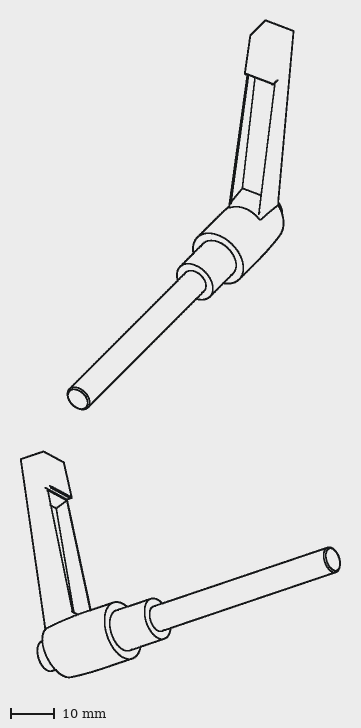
import cadquery as cq
import math

total_length = 87.9
lever_top = 49.8

stud_radius = 3.0
stud_chamfer = 0.35
sleeve_start = 51.0
sleeve_radius = 4.8
button_end = 83.2
button_radius = 3.6

hub_start = 61.1
hub_taper_start = 70.2
hub_radius = 6.8
hub_rear_radius = 6.1
hub_edge_radius = 0.4

rear_slope = 0.165
front_slope = 0.225
nose_slope = 0.236
nose_bottom = 40.0
nose_front = 78.9
nose_step = 1.4
lever_top_half_width = 3.9
lever_base_half_width = 4.3
lever_edge_radius = 0.35
root_fillet = 0.5

pocket_bottom = 7.7
pocket_floor = 77.7
pocket_floor_slope = 0.18
pocket_top = 38.6
pocket_top_half_width = 3.4
pocket_base_half_width = 3.8
pocket_bottom_drop = 0.9
pocket_top_rise = 0.35
pocket_overrun = 0.9

corner_trim = lever_edge_radius * (rear_slope + math.hypot(1, rear_slope) - 1)
rear_corner = total_length + corner_trim


def rear_y(z):
    """Y of the slanted rear plane shared by the lever and the hub."""
    return rear_corner - rear_slope * (lever_top - z)


def front_y(z):
    """Y of the lever front below the nose."""
    return nose_front + nose_step - front_slope * (nose_bottom - z)


def cylinder(radius, start, end):
    """Cylinder on the clamp axis between two Y positions."""
    return cq.Workplane("XZ", origin=(0, start, 0)).circle(radius).extrude(start - end)


def side_prism(points):
    """Prism of a (Y, Z) outline, centred on X and wider than the lever."""
    return cq.Workplane("YZ").polyline(points).close().extrude(hub_radius, both=True)


def width_taper(base_half_width, top_half_width):
    """Symmetric wedge that limits the X width from the clamp axis to the lever top."""
    outline = [
        (-base_half_width, 0),
        (base_half_width, 0),
        (top_half_width, lever_top),
        (-top_half_width, lever_top),
    ]
    return cq.Workplane("XZ").polyline(outline).close().extrude(-2 * total_length)


def make_hub():
    profile_end = rear_y(hub_radius)
    body = (
        cq.Workplane("XY")
        .moveTo(0, hub_start)
        .lineTo(hub_radius, hub_start)
        .lineTo(hub_radius, hub_taper_start)
        .tangentArcPoint((hub_rear_radius, profile_end), relative=False)
        .lineTo(0, profile_end)
        .close()
        .revolve(360, (0, 0, 0), (0, 1, 0))
    )
    front_side = side_prism([
        (0, -hub_radius),
        (rear_y(-hub_radius), -hub_radius),
        (rear_y(hub_radius), hub_radius),
        (0, hub_radius),
    ])
    return body.intersect(front_side).faces(">Y").edges().fillet(hub_edge_radius)


def make_lever():
    outline = [
        (rear_y(0), 0),
        (rear_y(lever_top), lever_top),
        (nose_front + nose_slope * (lever_top - nose_bottom), lever_top),
        (nose_front, nose_bottom),
        (nose_front + nose_step, nose_bottom),
        (front_y(0), 0),
    ]
    taper = width_taper(lever_base_half_width, lever_top_half_width)
    lever = side_prism(outline).intersect(taper)
    return lever.faces("<X or >X or >Z").edges("not <Z").fillet(lever_edge_radius)


def make_pocket():
    roof_floor_y = pocket_floor + pocket_floor_slope * (pocket_top - pocket_bottom)
    base_front_y = front_y(pocket_bottom) - pocket_overrun
    roof_front_y = nose_front - pocket_overrun
    outline = [
        (pocket_floor, pocket_bottom),
        (roof_floor_y, pocket_top),
        (roof_front_y, pocket_top + pocket_top_rise * (roof_floor_y - roof_front_y)),
        (base_front_y, pocket_bottom - pocket_bottom_drop),
    ]
    taper = width_taper(pocket_base_half_width, pocket_top_half_width)
    return side_prism(outline).intersect(taper)


stud = cylinder(stud_radius, 0, hub_taper_start).faces("<Y").chamfer(stud_chamfer)
sleeve = cylinder(sleeve_radius, sleeve_start, hub_taper_start)
button = cylinder(button_radius, hub_start, button_end)

handle = make_hub().union(make_lever().cut(make_pocket()))
root_point = (0, front_y(hub_radius), hub_radius)
root_edge = handle.edges(cq.selectors.NearestToPointSelector(root_point))
handle = root_edge.fillet(root_fillet)

result = handle.union(button.union(sleeve).union(stud))